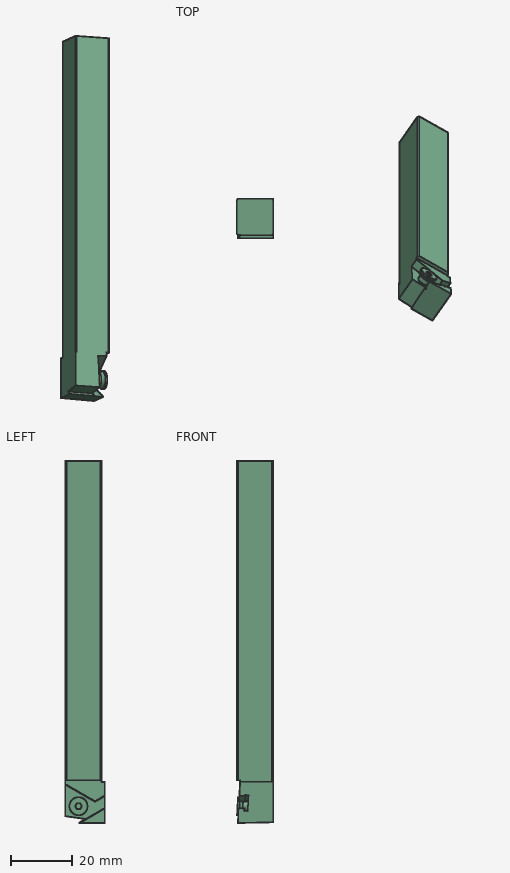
import cadquery as cq
import math

length = 118.4
width = 12.0
bar_chamfer = 0.5
head_height = 13.5
head_overhang = 1.1
bottom_rise = 0.2

tilt_degrees = 3.0
flank_edge = 0.4
flank_top_z = 14.0

slot_angle = math.radians(30)
slot_top_z = 9.0
slot_bottom_z = 5.0
slot_corner_y = 2.1
pocket_depth = 3.7
jaw_tip_y = 7.3
heel_z = 2.2
heel_angle = math.radians(8)
groove_start = 2.6
upper_groove = 0.4
lower_groove = 0.8

screw_face_x = 0.2
screw_y = 7.6
screw_z = 5.6
screw_head_radius = 3.0
screw_head_thickness = 0.7
screw_neck_radius = 2.1
screw_cone_end = 1.8
screw_end = 9.5
socket_width = 2.1
socket_depth = 1.0

tool_margin = 1.2

front_y = -head_overhang
slot_slope = math.tan(slot_angle)
heel_slope = math.tan(heel_angle)
flank_slope = math.tan(math.radians(tilt_degrees))


def slot_wall_z(start_z, y):
    """Height at y of a slot wall that falls towards +Y from the -Y face."""
    return start_z - (y - front_y) * slot_slope


def tilt(body):
    """Lean a body with the flank, about an axis along Y at screw height."""
    return body.rotate((0, 0, screw_z), (0, 1, screw_z), tilt_degrees)


def make_bar():
    bar_length = length - head_height
    bar = cq.Workplane("XY").box(width, width, bar_length, centered=False)
    return bar.edges("|Z").chamfer(bar_chamfer).translate((0, 0, head_height))


def make_head():
    underside_start = (0, -flank_edge * bottom_rise / (width - flank_edge))
    outline = [underside_start, (width, bottom_rise), (width, head_height), (0, head_height)]
    depth = width + head_overhang
    return cq.Workplane("XZ", origin=(0, width, 0)).polyline(outline).close().extrude(depth)


def make_flank_relief():
    """Thin slice off the -X side that leaves the leaning flank."""
    outline = [
        (-tool_margin, -tool_margin), (flank_edge - tool_margin * flank_slope, -tool_margin),
        (flank_edge + flank_top_z * flank_slope, flank_top_z), (-tool_margin, flank_top_z),
    ]
    depth = width + head_overhang
    return cq.Workplane("XZ", origin=(0, width, 0)).polyline(outline).close().extrude(depth)


def make_pocket():
    corner_z = slot_wall_z(slot_top_z, slot_corner_y)
    wall_end_z = corner_z + (width - slot_corner_y) * slot_slope
    outline = [
        (front_y, slot_top_z), (slot_corner_y, corner_z), (width, wall_end_z), (width, -tool_margin),
        (jaw_tip_y, -tool_margin), (jaw_tip_y, slot_wall_z(slot_bottom_z, jaw_tip_y)),
        (front_y, slot_bottom_z),
    ]
    return tilt(cq.Workplane("YZ", origin=(-tool_margin, 0, 0)).polyline(outline).close()
                .extrude(pocket_depth + tool_margin))


def make_slot_grooves():
    """Reliefs that widen the slot next to the pocket floor."""
    corner_z = slot_wall_z(slot_top_z, slot_corner_y)
    outline = [
        (front_y, slot_top_z + upper_groove), (slot_corner_y, corner_z + upper_groove),
        (slot_corner_y, slot_wall_z(slot_bottom_z - lower_groove, slot_corner_y)),
        (front_y, slot_bottom_z - lower_groove),
    ]
    groove_width = pocket_depth - groove_start
    plane = cq.Workplane("YZ", origin=(groove_start, 0, 0))
    return tilt(plane.polyline(outline).close().extrude(groove_width))


def make_heel_notch():
    """Opening between the lower jaw and the heel, through the full width."""
    jaw_tip_z = slot_wall_z(slot_bottom_z, jaw_tip_y)
    meet_y = (slot_bottom_z + front_y * slot_slope - heel_z + width * heel_slope) / (slot_slope + heel_slope)
    outline = [
        (width, -tool_margin), (jaw_tip_y, -tool_margin), (jaw_tip_y, jaw_tip_z),
        (meet_y, slot_wall_z(slot_bottom_z, meet_y)), (width, heel_z),
    ]
    return cq.Workplane("YZ").polyline(outline).close().extrude(width)


def make_screw_hole():
    plane = cq.Workplane("YZ", origin=(pocket_depth, screw_y, screw_z))
    return tilt(plane.circle(screw_neck_radius).extrude(screw_face_x + screw_end - pocket_depth))


def make_holder():
    holder = make_bar().union(make_head())
    cutters = (
        make_flank_relief(), make_pocket(), make_slot_grooves(), make_heel_notch(), make_screw_hole(),
    )
    for cutter in cutters:
        holder = holder.cut(cutter)
    return holder


def make_screw():
    half_profile = [
        (0, 0), (0, screw_head_radius), (screw_head_thickness, screw_head_radius),
        (screw_cone_end, screw_neck_radius), (screw_end, screw_neck_radius), (screw_end, 0),
    ]
    screw = cq.Workplane("XY").polyline(half_profile).close().revolve(360, (0, 0), (1, 0))
    socket = cq.Workplane("YZ").polygon(6, socket_width).extrude(socket_depth)
    return tilt(screw.cut(socket).translate((screw_face_x, screw_y, screw_z)))


holder = make_holder()
screw = make_screw()
result = cq.Compound.makeCompound([holder.solids().val(), screw.solids().val()])